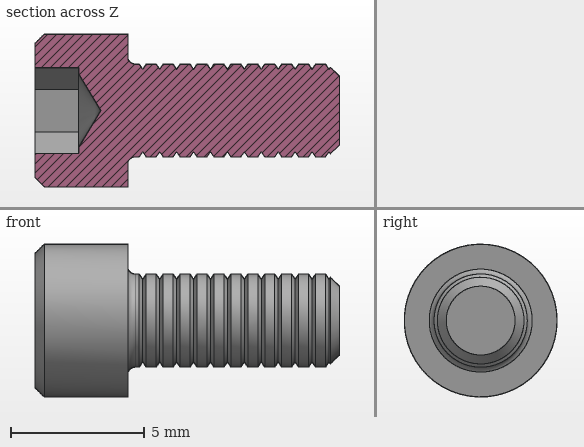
import cadquery as cq
import math

total_length = 11.44
head_diameter = 5.74
head_length = 3.5
head_chamfer = 0.35
shank_diameter = 3.5

fillet_length = 0.27
fillet_height = 0.18

groove_count = 12
groove_span = 6.99
first_groove_offset = 0.55
groove_width = 0.26
groove_depth = 0.2

tip_chamfer_length = 0.48
tip_diameter = 2.59

socket_across_flats = 2.78
socket_depth = 1.65
socket_cone_diameter = 2.75
cone_angle = 118.0

groove_pitch = groove_span / (groove_count - 1)
head_radius = head_diameter / 2
shank_radius = shank_diameter / 2
tip_radius = tip_diameter / 2


def screw_body():
    """Revolve the head, fillet, shank and tip about the X axis."""
    fillet_radius = (fillet_length**2 + fillet_height**2) / (2 * fillet_height)
    half_sweep = math.atan2(fillet_height, fillet_length)
    fillet_end = head_length + fillet_length
    fillet_middle = (
        fillet_end - fillet_radius * math.sin(half_sweep),
        shank_radius + fillet_radius * (1 - math.cos(half_sweep)),
    )
    return (
        cq.Workplane("XY")
        .moveTo(0, 0)
        .lineTo(0, head_radius - head_chamfer)
        .lineTo(head_chamfer, head_radius)
        .lineTo(head_length, head_radius)
        .lineTo(head_length, shank_radius + fillet_height)
        .threePointArc(fillet_middle, (fillet_end, shank_radius))
        .lineTo(total_length - tip_chamfer_length, shank_radius)
        .lineTo(total_length, tip_radius)
        .lineTo(total_length, 0)
        .close()
        .revolve(360, (0, 0, 0), (1, 0, 0))
    )


def groove_ring(center_x):
    """V-shaped ring, carried outward past the shank for a clean cut."""
    root_radius = shank_radius - groove_depth
    outer_radius = shank_radius + groove_depth
    return (
        cq.Workplane("XY")
        .moveTo(center_x, root_radius)
        .lineTo(center_x - groove_width, outer_radius)
        .lineTo(center_x + groove_width, outer_radius)
        .close()
        .revolve(360, (0, 0, 0), (1, 0, 0))
    )


def hex_socket():
    """Hexagonal prism with corners on the Y axis, ending in a drill cone."""
    corner_diameter = socket_across_flats / math.cos(math.pi / 6)
    prism = cq.Workplane("YZ").polygon(6, corner_diameter).extrude(socket_depth)
    cone_radius = socket_cone_diameter / 2
    cone_length = cone_radius / math.tan(math.radians(cone_angle / 2))
    cone = (
        cq.Workplane("XY")
        .moveTo(socket_depth, 0)
        .lineTo(socket_depth, cone_radius)
        .lineTo(socket_depth + cone_length, 0)
        .close()
        .revolve(360, (0, 0, 0), (1, 0, 0))
    )
    return prism.union(cone)


result = screw_body()
for index in range(groove_count):
    groove_x = head_length + first_groove_offset + index * groove_pitch
    result = result.cut(groove_ring(groove_x))
result = result.cut(hex_socket())